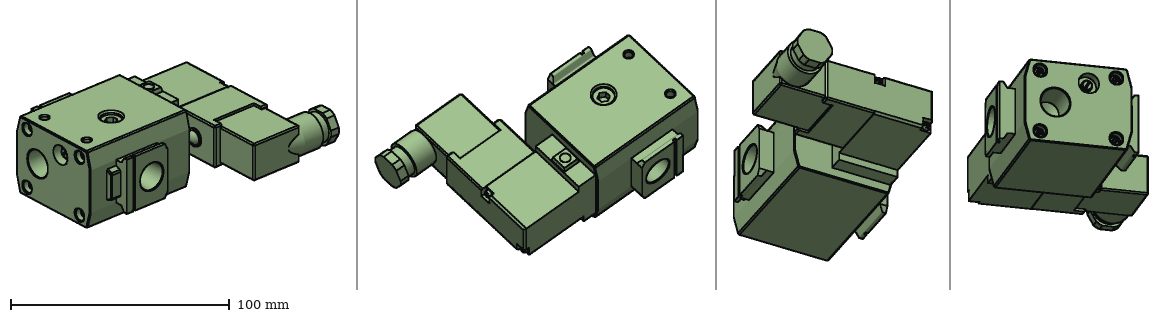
import cadquery as cq
import math

BLOCK_WIDTH = 51.0
BLOCK_LENGTH = 61.0
BLOCK_HEIGHT = 40.0
BLOCK_TOP_WIDTH = 46.3
BLOCK_SIDE_HEIGHT = 22.2
BLOCK_EDGE = 0.5
BLOCK_LONG_EDGE = 0.6

FLANGE_SPAN = 66.0
FLANGE_HEIGHT = 28.1
FLANGE_FRONT = 15.8
FLANGE_BACK = 40.6
FLANGE_RIM = 1.9
FLANGE_SLOPE = 2.0
FLANGE_ROUND = 0.7
FLANGE_CORNER_LENGTH = 1.6
FLANGE_CORNER_HEIGHT = 3.0
GROOVE_WIDTH = 1.5
GROOVE_DEPTH = 1.2
GROOVE_FRONT = 19.5

PORT_RADIUS = 6.8
PORT_END_RADIUS = 5.7
PORT_MOUTH_RADIUS = 7.2
PORT_DEPTH = 15.0
PORT_Y = 31.0
FRONT_PORT_X = -10.8
DRILL_POINT_ANGLE = 118.0

CORNER_SCREW_X = 18.0
CORNER_SCREW_Z = 15.0
SCREW_BORE_RADIUS = 2.9
SCREW_BORE_MOUTH = 0.5
SCREW_BORE_DEPTH = 3.7
SCREW_HEAD_RADIUS = 2.2
SCREW_HEAD_HEIGHT = 1.5
SCREW_HEAD_ROUND = 1.2
CROSS_LENGTH = 2.5
CROSS_WIDTH = 0.9
CROSS_DEPTH = 0.7

NEEDLE_X = 5.0
NEEDLE_Z = 11.0
NEEDLE_BORE_RADIUS = 4.9
NEEDLE_BORE_DEPTH = 5.0
NEEDLE_RADIUS = 2.5
NEEDLE_HEIGHT = 2.5
NEEDLE_EDGE = 0.4
NEEDLE_SLOT_WIDTH = 0.7
NEEDLE_SLOT_DEPTH = 0.7
NEEDLE_SLOT_ANGLE = 60.0

PLUG_X = 5.0
PLUG_RADIUS = 5.1
PLUG_MOUTH_RADIUS = 6.0
PLUG_RECESS = 1.9
PLUG_HEX_DIAMETER = 5.9
PLUG_HEX_DEPTH = 3.7
MOUNT_HOLE_X = 14.6
MOUNT_HOLE_Y = 7.6
MOUNT_HOLE_RADIUS = 1.9
MOUNT_HOLE_MOUTH = 0.6
MOUNT_HOLE_DEPTH = 5.0

PAD_FRONT = 10.2
PAD_THICKNESS = 3.1
PAD_ROOT_HEIGHT = 16.2
PAD_TIP_HEIGHT = 13.5
PAD_EDGE = 0.6

PILOT_LEFT = -24.0
PILOT_RIGHT = 6.1
ADAPTER_TOP = 15.0
ADAPTER_BOTTOM = -15.0
ADAPTER_TOP_BACK = 71.1
ADAPTER_BOTTOM_BACK = 68.1
BODY_BACK = 103.8
BODY_HEIGHT = 22.2
BODY_EDGE = 1.1

BUTTON_SIZE = 9.0
BUTTON_X = -9.0
BUTTON_Y = 66.2
BUTTON_HEIGHT = 2.2
BUTTON_TOP_SIZE = 8.0
BUTTON_DISC_RADIUS = 2.5
BUTTON_DISC_HEIGHT = 0.2

CORNER_NOTCH = 5.4
CORNER_NOTCH_DEPTH = 2.7
PILOT_SCREW_RADIUS = 2.0
PILOT_SCREW_HEIGHT = 2.0

COIL_RIGHT = 31.1
COIL_HEIGHT = 21.7
COIL_EDGE = 0.7
CONNECTOR_HEIGHT = 19.2
CONNECTOR_LEFT = 25.8
CONNECTOR_RIGHT = 54.2
CONNECTOR_FRONT = 74.6
CONNECTOR_BACK = 102.7
TONGUE_FRONT = 75.3
TONGUE_BACK = 99.7

LAMP_X = 17.4
LAMP_RADIUS = 4.5
LAMP_RIM = 0.7
LAMP_DOME_RADIUS = 3.6
LAMP_DOME_HEIGHT = 2.2

GLAND_X = 47.5
GLAND_RADIUS = 9.0
GLAND_TAPER_RADIUS = 6.5
GLAND_TAPER_START = 95.1
GLAND_TAPER_END = 103.7
GLAND_SHOULDER = 114.8
NECK_RADIUS = 7.5
NUT_FRONT = 119.6
NUT_BACK = 124.5
NUT_ACROSS_FLATS = 16.9


def box(x_range, y_range, z_range):
    """Box between two limits along each axis."""
    lows, highs = zip(x_range, y_range, z_range)
    sizes = [high - low for low, high in zip(lows, highs)]
    return cq.Workplane("XY").box(*sizes, centered=False).translate(lows)


def cylinder(radius, length, start, direction):
    return cq.Workplane(cq.Solid.makeCylinder(radius, length, cq.Vector(*start), cq.Vector(*direction)))


def cone(start_radius, end_radius, length, start, direction):
    start_point = cq.Vector(*start)
    axis = cq.Vector(*direction)
    return cq.Workplane(cq.Solid.makeCone(start_radius, end_radius, length, start_point, axis))


def hole(radius, mouth_radius, depth, start, direction):
    """Cutter for a flat-bottomed round hole with a 45 degree mouth chamfer."""
    mouth = cone(mouth_radius, radius, mouth_radius - radius, start, direction)
    return cylinder(radius, depth, start, direction).union(mouth)


def drill_point(radius, depth, start, direction):
    """Cutter for the conical tip at the bottom of a drilled hole."""
    tip_length = radius / math.tan(math.radians(DRILL_POINT_ANGLE / 2))
    tip_start = [place + depth * step for place, step in zip(start, direction)]
    return cone(radius, 0, tip_length, tip_start, direction)


def port(start, direction):
    """Cutter for a tapered port with a chamfered mouth and a drill tip."""
    mouth = cone(PORT_MOUTH_RADIUS, PORT_RADIUS, PORT_MOUTH_RADIUS - PORT_RADIUS, start, direction)
    bore = cone(PORT_RADIUS, PORT_END_RADIUS, PORT_DEPTH, start, direction)
    return bore.union(mouth).union(drill_point(PORT_END_RADIUS, PORT_DEPTH, start, direction))


def screw_head(radius, height):
    """Round cross-head with its base at the origin, facing +Z."""
    head = cq.Workplane("XY").circle(radius).extrude(height).faces(">Z").edges().fillet(SCREW_HEAD_ROUND)
    cross = (
        cq.Workplane("XY", origin=(0, 0, height - CROSS_DEPTH))
        .rect(CROSS_LENGTH, CROSS_WIDTH)
        .extrude(CROSS_DEPTH)
    )
    return head.cut(cross).cut(cross.rotate((0, 0, 0), (0, 0, 1), 90))


def block_shell():
    """Extruded block with sloping upper and lower sides and broken end edges."""
    half_height = BLOCK_HEIGHT / 2
    half_side = BLOCK_SIDE_HEIGHT / 2
    outline = [
        (BLOCK_TOP_WIDTH / 2, half_height),
        (BLOCK_WIDTH / 2, half_side),
        (BLOCK_WIDTH / 2, -half_side),
        (BLOCK_TOP_WIDTH / 2, -half_height),
    ]
    outline += [(-x, z) for x, z in reversed(outline)]
    block = cq.Workplane("XZ").polyline(outline).close().extrude(-BLOCK_LENGTH)
    block = block.faces("<Z or >Z").edges("|Y").chamfer(BLOCK_LONG_EDGE)
    return block.faces("<Y or >Y").edges().chamfer(BLOCK_EDGE)


def flanges():
    """Dovetail bar through the block, leaving one flange on each side."""
    half_span = FLANGE_SPAN / 2
    half_height = FLANGE_HEIGHT / 2
    neck_half = BLOCK_SIDE_HEIGHT / 2
    rim_x = half_span - FLANGE_RIM
    neck_x = rim_x - FLANGE_SLOPE
    round_x = rim_x + FLANGE_ROUND
    bend_zone = cq.selectors.BoxSelector((-round_x, 0, -FLANGE_HEIGHT), (round_x, FLANGE_BACK, FLANGE_HEIGHT))
    upper = [(half_span, half_height), (rim_x, half_height), (neck_x, neck_half)]
    upper += [(-x, z) for x, z in reversed(upper)]
    outline = upper + [(x, -z) for x, z in reversed(upper)]
    bar = (
        cq.Workplane("XZ", origin=(0, FLANGE_FRONT, 0))
        .polyline(outline)
        .close()
        .extrude(FLANGE_FRONT - FLANGE_BACK)
    )
    bar = bar.edges("|Y").edges(bend_zone).fillet(FLANGE_ROUND)
    for side in (1, -1):
        corner = (
            cq.Workplane("YZ")
            .moveTo(FLANGE_BACK, side * half_height)
            .lineTo(FLANGE_BACK - FLANGE_CORNER_LENGTH, side * half_height)
            .lineTo(FLANGE_BACK, side * (half_height - FLANGE_CORNER_HEIGHT))
            .close()
            .extrude(half_span, both=True)
        )
        groove_x = sorted((side * half_span, side * (half_span - GROOVE_DEPTH)))
        groove_y = (GROOVE_FRONT, GROOVE_FRONT + GROOVE_WIDTH)
        groove = box(groove_x, groove_y, (-half_height, half_height))
        bar = bar.cut(corner).cut(groove)
    return bar


def label_pad():
    """Pad with sloping ends, standing on the +X side just in front of the flange."""
    root_x = BLOCK_WIDTH / 2
    tip_x = root_x + PAD_THICKNESS
    root_half = PAD_ROOT_HEIGHT / 2
    tip_half = PAD_TIP_HEIGHT / 2
    pad = (
        cq.Workplane("XZ", origin=(0, PAD_FRONT, 0))
        .polyline([(root_x, root_half), (tip_x, tip_half), (tip_x, -tip_half), (root_x, -root_half)])
        .close()
        .extrude(PAD_FRONT - FLANGE_FRONT)
    )
    return pad.faces(">X or <Y").edges("not (<X or >Y)").chamfer(PAD_EDGE)


def cut_ports(block):
    half_span = FLANGE_SPAN / 2
    block = block.cut(port((FRONT_PORT_X, 0, 0), (0, 1, 0)))
    for side in (1, -1):
        block = block.cut(port((side * half_span, PORT_Y, 0), (-side, 0, 0)))
    return block


def add_corner_screws(block):
    mouth_radius = SCREW_BORE_RADIUS + SCREW_BORE_MOUTH
    head = screw_head(SCREW_HEAD_RADIUS, SCREW_HEAD_HEIGHT).rotate((0, 0, 0), (1, 0, 0), 90)
    for x in (-CORNER_SCREW_X, CORNER_SCREW_X):
        for z in (-CORNER_SCREW_Z, CORNER_SCREW_Z):
            bore = hole(SCREW_BORE_RADIUS, mouth_radius, SCREW_BORE_DEPTH, (x, 0, z), (0, 1, 0))
            block = block.cut(bore).union(head.translate((x, SCREW_BORE_DEPTH, z)))
    return block


def add_needle(block):
    """Slotted needle at the bottom of its bore."""
    bore = cylinder(NEEDLE_BORE_RADIUS, NEEDLE_BORE_DEPTH, (NEEDLE_X, 0, NEEDLE_Z), (0, 1, 0))
    tip_y = NEEDLE_BORE_DEPTH - NEEDLE_HEIGHT
    needle = cylinder(NEEDLE_RADIUS, NEEDLE_HEIGHT, (NEEDLE_X, tip_y, NEEDLE_Z), (0, 1, 0))
    needle = needle.faces("<Y").edges().chamfer(NEEDLE_EDGE)
    slot = (
        cq.Workplane("XZ", origin=(NEEDLE_X, tip_y, NEEDLE_Z))
        .transformed(rotate=(0, 0, NEEDLE_SLOT_ANGLE))
        .rect(2 * NEEDLE_RADIUS, NEEDLE_SLOT_WIDTH)
        .extrude(-NEEDLE_SLOT_DEPTH)
    )
    return block.cut(bore).union(needle.cut(slot))


def cut_top_features(block):
    top = BLOCK_HEIGHT / 2
    down = (0, 0, -1)
    recess = hole(PLUG_RADIUS, PLUG_MOUTH_RADIUS, PLUG_RECESS, (PLUG_X, PORT_Y, top), down)
    socket = (
        cq.Workplane("XY", origin=(PLUG_X, PORT_Y, top - PLUG_RECESS))
        .polygon(6, PLUG_HEX_DIAMETER)
        .extrude(-PLUG_HEX_DEPTH)
    )
    block = block.cut(recess).cut(socket)
    mouth_radius = MOUNT_HOLE_RADIUS + MOUNT_HOLE_MOUTH
    for x in (-MOUNT_HOLE_X, MOUNT_HOLE_X):
        start = (x, MOUNT_HOLE_Y, top)
        block = block.cut(hole(MOUNT_HOLE_RADIUS, mouth_radius, MOUNT_HOLE_DEPTH, start, down))
        block = block.cut(drill_point(MOUNT_HOLE_RADIUS, MOUNT_HOLE_DEPTH, start, down))
    return block


def make_valve_block():
    block = block_shell().union(flanges()).union(label_pad())
    block = cut_ports(block)
    block = add_corner_screws(block)
    block = add_needle(block)
    return cut_top_features(block)


def pilot_body():
    """Adapter against the block and the valve body behind it, extruded from one side profile."""
    half_height = BODY_HEIGHT / 2
    profile = [
        (BLOCK_LENGTH, ADAPTER_TOP),
        (ADAPTER_TOP_BACK, ADAPTER_TOP),
        (ADAPTER_TOP_BACK, half_height),
        (BODY_BACK, half_height),
        (BODY_BACK, -half_height),
        (ADAPTER_BOTTOM_BACK, -half_height),
        (ADAPTER_BOTTOM_BACK, ADAPTER_BOTTOM),
        (BLOCK_LENGTH, ADAPTER_BOTTOM),
    ]
    body = (
        cq.Workplane("YZ", origin=(PILOT_LEFT, 0, 0))
        .polyline(profile)
        .close()
        .extrude(PILOT_RIGHT - PILOT_LEFT)
    )
    return body.faces(">Y").edges("not >X").chamfer(BODY_EDGE)


def add_pilot_screws(body):
    """Screw heads in notches at two opposite back corners of the valve body."""
    notch_y = (BODY_BACK - CORNER_NOTCH_DEPTH, BODY_BACK)
    half_notch = CORNER_NOTCH / 2
    head = screw_head(PILOT_SCREW_RADIUS, PILOT_SCREW_HEIGHT).rotate((0, 0, 0), (1, 0, 0), -90)
    centre_z = BODY_HEIGHT / 2 - half_notch
    for x, z in ((PILOT_RIGHT - half_notch, centre_z), (PILOT_LEFT + half_notch, -centre_z)):
        notch = box((x - half_notch, x + half_notch), notch_y, (z - half_notch, z + half_notch))
        body = body.cut(notch).union(head.translate((x, notch_y[0], z)))
    return body


def manual_button():
    """Square button with leaning sides and a raised round disc on top of the adapter."""
    button = (
        cq.Workplane("XY", origin=(BUTTON_X, BUTTON_Y, ADAPTER_TOP))
        .rect(BUTTON_SIZE, BUTTON_SIZE)
        .workplane(offset=BUTTON_HEIGHT)
        .rect(BUTTON_TOP_SIZE, BUTTON_TOP_SIZE)
        .loft(ruled=True)
    )
    disc_start = (BUTTON_X, BUTTON_Y, ADAPTER_TOP + BUTTON_HEIGHT)
    return button.union(cylinder(BUTTON_DISC_RADIUS, BUTTON_DISC_HEIGHT, disc_start, (0, 0, 1)))


def coil_and_connector():
    """Coil with a recess in its +X end that holds the connector's tongue."""
    coil_z = (-COIL_HEIGHT / 2, COIL_HEIGHT / 2)
    recess_x = (CONNECTOR_LEFT, COIL_RIGHT)
    recess_y = (TONGUE_FRONT, TONGUE_BACK)
    coil = box((PILOT_RIGHT, COIL_RIGHT), (ADAPTER_TOP_BACK, BODY_BACK), coil_z)
    coil = coil.edges("not <X").chamfer(COIL_EDGE).cut(box(recess_x, recess_y, coil_z))
    z_range = (-CONNECTOR_HEIGHT / 2, CONNECTOR_HEIGHT / 2)
    connector = box((COIL_RIGHT, CONNECTOR_RIGHT), (CONNECTOR_FRONT, CONNECTOR_BACK), z_range)
    connector = connector.edges("not <X").chamfer(COIL_EDGE)
    tongue = box(recess_x, recess_y, z_range)
    return coil.union(tongue).union(connector)


def lamp():
    """Domed indicator lamp on the -Y side of the coil."""
    forward = (0, -1, 0)
    rim = cylinder(LAMP_RADIUS, LAMP_RIM, (LAMP_X, ADAPTER_TOP_BACK, 0), forward)
    sphere_radius = (LAMP_DOME_RADIUS**2 + LAMP_DOME_HEIGHT**2) / (2 * LAMP_DOME_HEIGHT)
    dome_base_y = ADAPTER_TOP_BACK - LAMP_RIM
    sphere_y = dome_base_y - LAMP_DOME_HEIGHT + sphere_radius
    sphere = cq.Workplane("XY").sphere(sphere_radius).translate((LAMP_X, sphere_y, 0))
    dome = sphere.intersect(cylinder(LAMP_RADIUS, LAMP_DOME_HEIGHT, (LAMP_X, dome_base_y, 0), forward))
    return rim.union(dome)


def cable_gland():
    """Tapered socket, neck and hexagonal nut with rounded corners along +Y."""
    back = (0, 1, 0)
    taper_length = GLAND_TAPER_END - GLAND_TAPER_START
    taper_start = (GLAND_X, GLAND_TAPER_START, 0)
    gland = cone(GLAND_TAPER_RADIUS, GLAND_RADIUS, taper_length, taper_start, back)
    for radius, start_y, end_y in (
        (GLAND_RADIUS, GLAND_TAPER_END, GLAND_SHOULDER),
        (NECK_RADIUS, GLAND_SHOULDER, NUT_FRONT),
    ):
        gland = gland.union(cylinder(radius, end_y - start_y, (GLAND_X, start_y, 0), back))
    nut_length = NUT_BACK - NUT_FRONT
    hexagon = (
        cq.Workplane("XZ", origin=(GLAND_X, NUT_FRONT, 0))
        .polygon(6, NUT_ACROSS_FLATS / math.cos(math.radians(30)))
        .extrude(-nut_length)
    )
    nut = hexagon.intersect(cylinder(GLAND_RADIUS, nut_length, (GLAND_X, NUT_FRONT, 0), back))
    return gland.union(nut)


def make_pilot_valve():
    pilot = add_pilot_screws(pilot_body())
    for piece in (manual_button(), coil_and_connector(), lamp(), cable_gland()):
        pilot = pilot.union(piece)
    return pilot


valve_block = make_valve_block()
pilot_valve = make_pilot_valve()

result = cq.Compound.makeCompound([*valve_block.solids().vals(), *pilot_valve.solids().vals()])